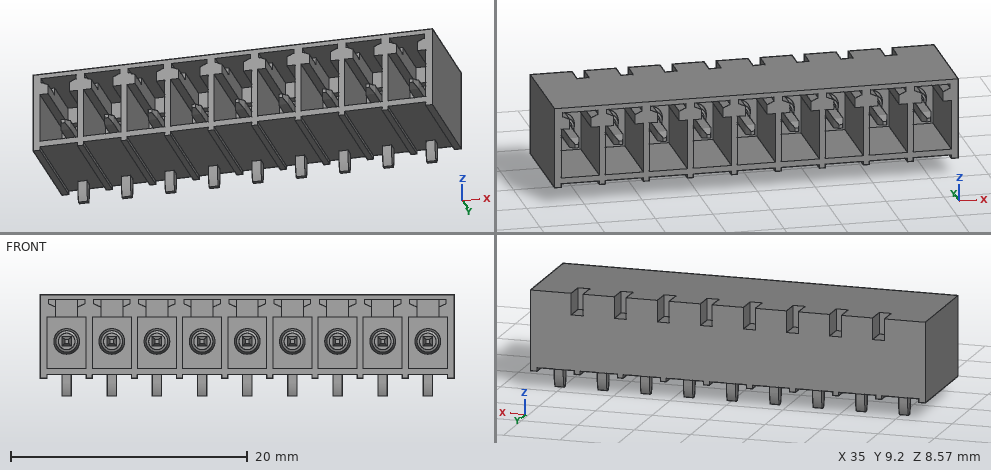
import cadquery as cq
import math


poles = 9
pitch = 3.8

length = 34.98
depth = 9.2
total_height = 8.57
housing_height = 7.05
foot_height = 0.3
top = total_height
housing_bottom = top - housing_height
front = -depth / 2
back = depth / 2

cavity_width = 3.3
cavity_depth = 7.0
cavity_top = top - 1.9
cavity_bottom = top - 6.23
cavity_back = front + cavity_depth

groove_width = 1.85
groove_depth = 6.3
flare_width = 3.08
flare_depth = 2.1
groove_top = top - 0.42
flare_side_height = 0.35
flare_slope_drop = 0.28

rear_slot_width = 1.05
rear_slot_depth = 1.9
rear_slot_height = 1.9

boss_base_radius = 1.1
boss_shoulder_radius = 0.9
boss_face_radius = 0.7
boss_shoulder_height = 0.7
boss_height = 0.8

pin_size = 0.8
pin_z = top - 3.95
pin_tip_y = front + 1.35
contact_tip_size = 0.3
contact_tip_length = 0.9
leg_y = back - 1.25
leg_tip_depth = 0.35
leg_taper_height = 1.05


def spread(count):
    """X positions of a centred row with the pole pitch."""
    return [(i - (count - 1) / 2) * pitch for i in range(count)]


pole_places = spread(poles)
gap_places = spread(poles - 1)


def box(x, width, y_range, z_range):
    """Box centred on x that fills the given Y and Z ranges."""
    y0, y1 = y_range
    z0, z1 = z_range
    return cq.Workplane("XY").box(width, y1 - y0, z1 - z0, centered=(True, False, False)).translate((x, y0, z0))


def coding_groove(x):
    """Straight groove that opens into the cavity below, and the flares along its upper edges."""
    groove = box(x, groove_width, (front, front + groove_depth), (cavity_top, groove_top))
    slope_top = groove_top - flare_side_height
    slope_bottom = slope_top - flare_slope_drop
    flare_profile = [
        (groove_width / 2, slope_bottom),
        (flare_width / 2, slope_top),
        (flare_width / 2, groove_top),
        (-flare_width / 2, groove_top),
        (-flare_width / 2, slope_top),
        (-groove_width / 2, slope_bottom),
    ]
    flares = cq.Workplane("XZ", origin=(x, front, 0)).polyline(flare_profile).close().extrude(-flare_depth)
    return groove.union(flares)


def boss(x):
    """Two stacked cones on the rear wall of a cavity, around the pin."""
    profile = [
        (0, 0),
        (boss_base_radius, 0),
        (boss_shoulder_radius, -boss_shoulder_height),
        (boss_face_radius, -boss_height),
        (0, -boss_height),
    ]
    return (
        cq.Workplane("XY")
        .polyline(profile)
        .close()
        .revolve(360, (0, 0, 0), (0, 1, 0))
        .translate((x, cavity_back, pin_z))
    )


def make_pin(x):
    """Square pin: a horizontal contact with a blunt tip, bent down into a tapered leg."""
    half = pin_size / 2
    tip_base_y = pin_tip_y + contact_tip_length
    contact = box(x, pin_size, (tip_base_y, leg_y + half), (pin_z - half, pin_z + half))
    tip = (
        cq.Workplane("XZ", origin=(x, tip_base_y, pin_z))
        .rect(pin_size, pin_size)
        .workplane(offset=contact_tip_length)
        .rect(contact_tip_size, contact_tip_size)
        .loft(ruled=True)
    )

    inset = (pin_size - leg_tip_depth) / 2
    radius = (leg_taper_height**2 + inset**2) / (2 * inset)
    middle_angle = math.asin(leg_taper_height / radius) / 2
    middle_y = half - radius * (1 - math.cos(middle_angle))
    middle_z = leg_taper_height - radius * math.sin(middle_angle)
    leg = (
        cq.Workplane("YZ", origin=(x - half, leg_y, 0))
        .moveTo(-half, pin_z)
        .lineTo(-half, leg_taper_height)
        .threePointArc((-middle_y, middle_z), (-leg_tip_depth / 2, 0))
        .lineTo(leg_tip_depth / 2, 0)
        .threePointArc((middle_y, middle_z), (half, leg_taper_height))
        .lineTo(half, pin_z)
        .close()
        .extrude(pin_size)
    )
    return contact.union(tip).union(leg)


def make_housing(pins):
    """Housing with its cavities, grooves, bosses, rear slots and fitted pin holes."""
    body = box(0, length, (front, back), (housing_bottom, top))
    for x in pole_places:
        body = body.cut(box(x, cavity_width, (front, cavity_back), (cavity_bottom, cavity_top)))
        body = body.cut(coding_groove(x))
        underside = (housing_bottom, housing_bottom + foot_height)
        body = body.cut(box(x, cavity_width, (front, back), underside))
        body = body.union(boss(x))
    for x in gap_places:
        slot_y = (back - rear_slot_depth, back)
        body = body.cut(box(x, rear_slot_width, slot_y, (top - rear_slot_height, top)))
    for pin in pins:
        body = body.cut(pin)
    return body


pins = [make_pin(x) for x in pole_places]
housing = make_housing(pins)

result = cq.Compound.makeCompound([housing.val(), *[pin.val() for pin in pins]])